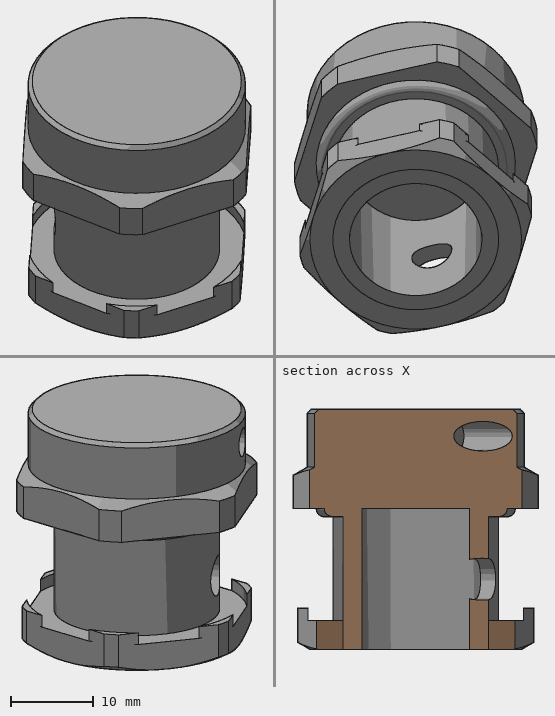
import cadquery as cq
import math

NUT_HEIGHT = 5.0
HEX_BOTTOM = 17.0
HEX_TOP = 22.0
TOTAL_HEIGHT = 29.0

HEX_FLATS = 27.0
HEX_CORNER_RADIUS = 14.85
CAP_RADIUS = 13.12
CAP_CHAMFER = 0.5
STEM_RADIUS = 10.0
BORE_RADIUS = 8.0

HOLE_ANGLE = 240
STEM_HOLE_DIAMETER = 5.0
STEM_HOLE_HEIGHT = 8.5
CAP_HOLE_DIAMETER = 3.5
CAP_HOLE_HEIGHT = 25.75
CAP_HOLE_DEPTH = 7.42

NUT_FLATS = 25.53
NUT_CORNER_RADIUS = 14.25
RECESS_RADIUS = 13.33
RECESS_DEPTH = 1.48

BEAD_RADIUS = 1.0
BEAD_CENTRE_RADIUS = STEM_RADIUS + BEAD_RADIUS

CORNER_SLOPE = math.tan(math.radians(30))


def hexagon(flats, height):
    """Hexagonal prism on Z = 0 with two flats facing -X and +X."""
    corner_diameter = flats / math.cos(math.radians(30))
    prism = cq.Workplane("XY").polygon(6, corner_diameter).extrude(height)
    return prism.rotate((0, 0, 0), (0, 0, 1), 30)


def bevelled_hexagon(flats, corner_radius, bevel_start_radius, height):
    """Hexagon with rounded corners and a conical bevel around its top face."""
    bevel_drop = (corner_radius - bevel_start_radius) * CORNER_SLOPE
    envelope = (
        cq.Workplane("XZ")
        .moveTo(0, 0)
        .lineTo(corner_radius, 0)
        .lineTo(corner_radius, height - bevel_drop)
        .lineTo(bevel_start_radius, height)
        .lineTo(0, height)
        .close()
        .revolve(360, (0, 0), (0, 1))
    )
    return hexagon(flats, height).intersect(envelope)


def cylinder(radius, bottom, top):
    return cq.Workplane("XY").workplane(offset=bottom).circle(radius).extrude(top - bottom)


def radial_drill(diameter, height, inner_radius, outer_radius):
    """Cutter lying between two radii, pointing along HOLE_ANGLE."""
    drill = (
        cq.Workplane("YZ", origin=(inner_radius, 0, height))
        .circle(diameter / 2)
        .extrude(outer_radius - inner_radius)
    )
    return drill.rotate((0, 0, 0), (0, 0, 1), HOLE_ANGLE)


def make_sealing_bead():
    """Ring with a quarter-round outer edge, filling the corner between the stem and the hexagon."""
    bead_bottom = HEX_BOTTOM - BEAD_RADIUS
    diagonal = BEAD_RADIUS * math.sqrt(0.5)
    return (
        cq.Workplane("XZ")
        .moveTo(BORE_RADIUS, HEX_BOTTOM)
        .lineTo(BORE_RADIUS, bead_bottom)
        .lineTo(BEAD_CENTRE_RADIUS, bead_bottom)
        .threePointArc(
            (BEAD_CENTRE_RADIUS + diagonal, HEX_BOTTOM - diagonal),
            (BEAD_CENTRE_RADIUS + BEAD_RADIUS, HEX_BOTTOM),
        )
        .close()
        .revolve(360, (0, 0), (0, 1))
    )


def make_plug():
    """Hollow stem, open at the bottom, with a sealing bead, a hexagon and a solid round cap."""
    stem = cylinder(STEM_RADIUS, 0, HEX_BOTTOM)
    grip = bevelled_hexagon(HEX_FLATS, HEX_CORNER_RADIUS, CAP_RADIUS, HEX_TOP - HEX_BOTTOM)
    grip = grip.translate((0, 0, HEX_BOTTOM))
    cap = cylinder(CAP_RADIUS, HEX_TOP, TOTAL_HEIGHT).faces(">Z").chamfer(CAP_CHAMFER)
    body = stem.union(make_sealing_bead()).union(grip).union(cap)

    bore = cylinder(BORE_RADIUS, 0, HEX_BOTTOM)
    stem_hole = radial_drill(STEM_HOLE_DIAMETER, STEM_HOLE_HEIGHT, 0, HEX_CORNER_RADIUS)
    cap_hole = radial_drill(
        CAP_HOLE_DIAMETER, CAP_HOLE_HEIGHT, CAP_RADIUS - CAP_HOLE_DEPTH, HEX_CORNER_RADIUS
    )
    return body.cut(bore).cut(stem_hole).cut(cap_hole)


def make_nut():
    """Hexagon bevelled underneath; its round recess breaks through the flats, leaving six corner claws."""
    blank = bevelled_hexagon(NUT_FLATS, NUT_CORNER_RADIUS, NUT_FLATS / 2, NUT_HEIGHT)
    blank = blank.rotate((0, 0, 0), (1, 0, 0), 180).translate((0, 0, NUT_HEIGHT))
    recess = cylinder(RECESS_RADIUS, NUT_HEIGHT - RECESS_DEPTH, NUT_HEIGHT)
    stem_opening = cylinder(STEM_RADIUS, 0, NUT_HEIGHT)
    return blank.cut(recess).cut(stem_opening)


plug = make_plug()
nut = make_nut()

result = cq.Compound.makeCompound([plug.val(), nut.val()])